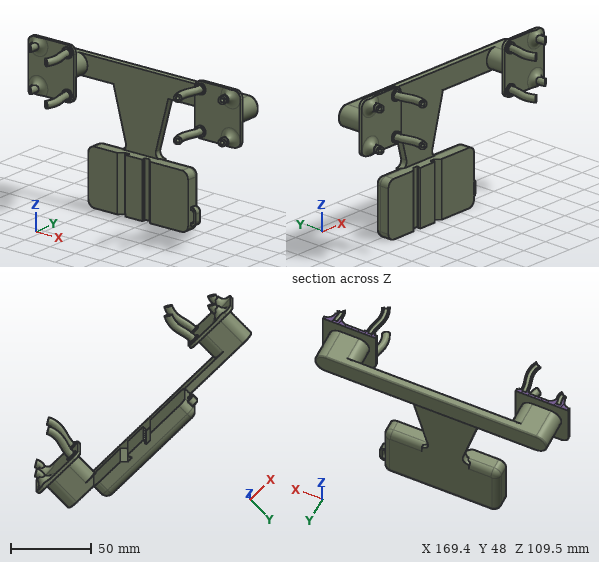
import cadquery as cq
import math


LENGTH = 169.4
DEPTH = 48.0

ARM_LENGTH = 159.7
ARM_HEIGHT = 14.9
ARM_FRONT_Y = -5.0
ARM_BACK_ROUND = 0.8

PAD_LENGTH = 27.5

PLATE_WIDTH = 36.6
PLATE_HEIGHT = 38.3
PLATE_THICKNESS = 2.2
PLATE_CORNER = 5.0
PLATE_BACK_Y = -22.0
PLATE_FRONT_Y = PLATE_BACK_Y - PLATE_THICKNESS
PLATE_CENTRE_X = (LENGTH - PLATE_WIDTH) / 2

PEG_RADIUS = 2.5
PEG_BORE_RADIUS = 1.2
PEG_TIP_ANGLE = 30.0
PEG_Z = PLATE_HEIGHT / 2 - PLATE_CORNER
LONG_PEG_X = LENGTH / 2 - PLATE_WIDTH + PLATE_CORNER
LONG_PEG_REACH = DEPTH + PLATE_FRONT_Y - PEG_RADIUS * math.sin(math.radians(PEG_TIP_ANGLE))
LONG_PEG_BULGE = 2.4
LONG_PEG_LEAN = 0.7
COLLAR_RADIUS = 3.7
COLLAR_HEIGHT = 0.8
SHORT_PEG_X = 76.7
SHORT_PEG_REACH = 8.3
SHORT_PEG_BULGE = 0.7
SHORT_PEG_LEAN = 0.0
BULGE_POSITION = 0.63
FLARE_RADIUS = 5.0

BOX_WIDTH = 79.6
BOX_HEIGHT = 41.0
BOX_CENTRE_X = -6.6
BOX_BOTTOM_Z = -90.3
BOX_TOP_Z = BOX_BOTTOM_Z + BOX_HEIGHT
BOX_BACK_Y = -0.3
BOX_FRONT_Y = -12.0
BOX_CORNER = 5.0
BOX_BACK_ROUND = 4.5

RAIL_CENTRE_X = -10.0
RAIL_HALF_WIDTH = 6.8
RAIL_UNDERCUT = 0.5
GROOVE_DEPTH = 3.2
GROOVE_LIP_DEPTH = 2.2
GROOVE_FLOOR_END = 9.8
GROOVE_MOUTH_END = 13.0

NECK_CENTRE_X = -10.0
NECK_TOP_HALF = 21.9
NECK_BOTTOM_HALF = 12.0
NECK_WAIST_Z = -44.4
NECK_FLARE_RADIUS = 4.4
NECK_OVERLAP = 5.0

LOOP_HEIGHT = 12.2
LOOP_REACH = 4.2
LOOP_BAR = 1.7
LOOP_CENTRE_Z = -79.6
LOOP_BACK_Y = -5.0
LOOP_FRONT_Y = -9.5
LOOP_CORNER = 3.4


def facing_front(y):
    """Sketch plane at depth y, with sketch x = X, sketch y = Z and extrusion towards -Y."""
    return cq.Workplane("XZ", origin=(0, y, 0))


def make_arm():
    bar = facing_front(0).slot2D(ARM_LENGTH, ARM_HEIGHT).extrude(-ARM_FRONT_Y)
    return bar.faces(">Y").edges().fillet(ARM_BACK_ROUND)


def make_neck():
    taper = math.atan2(NECK_TOP_HALF - NECK_BOTTOM_HALF, -ARM_HEIGHT / 2 - NECK_WAIST_Z)
    arc_centre_x = NECK_BOTTOM_HALF + NECK_FLARE_RADIUS * math.cos(taper)
    arc_centre_z = NECK_WAIST_Z - NECK_FLARE_RADIUS * math.sin(taper)
    arc_middle = (math.pi / 2 - taper) / 2
    arc_middle_x = arc_centre_x - NECK_FLARE_RADIUS * math.sin(arc_middle)
    arc_middle_z = arc_centre_z - NECK_FLARE_RADIUS * math.cos(arc_middle)
    arc_end_z = arc_centre_z - NECK_FLARE_RADIUS
    foot_z = BOX_TOP_Z - NECK_OVERLAP
    half_neck = (
        facing_front(BOX_BACK_Y)
        .moveTo(0, 0)
        .lineTo(NECK_TOP_HALF, 0)
        .lineTo(NECK_TOP_HALF, -ARM_HEIGHT / 2)
        .lineTo(NECK_BOTTOM_HALF, NECK_WAIST_Z)
        .threePointArc((arc_middle_x, arc_middle_z), (arc_centre_x, arc_end_z))
        .lineTo(arc_centre_x, foot_z)
        .lineTo(0, foot_z)
        .close()
        .extrude(BOX_BACK_Y - ARM_FRONT_Y)
    )
    return half_neck.union(half_neck.mirror("YZ")).translate((NECK_CENTRE_X, 0, 0))


def make_box():
    box = (
        facing_front(BOX_BACK_Y)
        .center(BOX_CENTRE_X, BOX_BOTTOM_Z + BOX_HEIGHT / 2)
        .rect(BOX_WIDTH, BOX_HEIGHT)
        .extrude(BOX_BACK_Y - BOX_FRONT_Y)
        .edges("|Y")
        .fillet(BOX_CORNER)
        .faces(">Y")
        .edges()
        .fillet(BOX_BACK_ROUND)
    )
    floor_y = BOX_FRONT_Y + GROOVE_DEPTH
    lip_y = BOX_FRONT_Y + GROOVE_LIP_DEPTH
    undercut_x = RAIL_HALF_WIDTH - RAIL_UNDERCUT
    groove = (
        cq.Workplane("XY", origin=(0, 0, BOX_BOTTOM_Z))
        .polyline([
            (RAIL_HALF_WIDTH, BOX_FRONT_Y),
            (RAIL_HALF_WIDTH, lip_y),
            (undercut_x, lip_y),
            (undercut_x, floor_y),
            (GROOVE_FLOOR_END, floor_y),
            (GROOVE_MOUTH_END, BOX_FRONT_Y),
        ])
        .close()
        .extrude(BOX_HEIGHT)
    )
    for side in (groove, groove.mirror("YZ")):
        box = box.cut(side.translate((RAIL_CENTRE_X, 0, 0)))
    return box


def make_loop():
    """D-shaped ring whose straight back is buried in the box side."""
    side_x = BOX_CENTRE_X + BOX_WIDTH / 2
    thickness = LOOP_BACK_Y - LOOP_FRONT_Y

    def rounded_block(shrink):
        reach = LOOP_REACH - shrink
        return (
            facing_front(LOOP_BACK_Y)
            .center(side_x, LOOP_CENTRE_Z)
            .rect(2 * reach, LOOP_HEIGHT - 2 * shrink)
            .extrude(thickness)
            .edges("|Y")
            .fillet(LOOP_CORNER - shrink)
        )

    ring = rounded_block(0).cut(rounded_block(LOOP_BAR))
    outside = facing_front(LOOP_BACK_Y).center(side_x + LOOP_REACH / 2, LOOP_CENTRE_Z)
    return ring.intersect(outside.rect(LOOP_REACH, LOOP_HEIGHT).extrude(thickness))


def make_pad():
    depth = ARM_FRONT_Y - PLATE_BACK_Y
    centre_x = (ARM_LENGTH - PAD_LENGTH) / 2
    return facing_front(ARM_FRONT_Y).center(centre_x, 0).slot2D(PAD_LENGTH, ARM_HEIGHT).extrude(depth)


def plate_prism(back_y, depth):
    """Rounded plate outline on the +X side, extruded towards -Y."""
    return (
        facing_front(back_y)
        .center(PLATE_CENTRE_X, 0)
        .rect(PLATE_WIDTH, PLATE_HEIGHT)
        .extrude(depth)
        .edges("|Y")
        .fillet(PLATE_CORNER)
    )


def bent_rod(x, z, radius, reach, bulge, lean):
    """Round rod from the plate front that bulges towards -X and turns its tip back towards +X.

    The tip ends up offset by lean towards -X.
    """
    tip_angle = math.radians(PEG_TIP_ANGLE)
    path = cq.Workplane("XY", origin=(x, PLATE_FRONT_Y, z)).spline(
        [(0, 0), (-bulge, -BULGE_POSITION * reach), (-lean, -reach)],
        tangents=[(0, -1), (math.sin(tip_angle), -math.cos(tip_angle))],
    )
    return facing_front(PLATE_FRONT_Y).center(x, z).circle(radius).sweep(path)


def make_flare(x, z):
    """Concave trumpet foot that blends a short peg into the plate."""
    foot = PEG_RADIUS + FLARE_RADIUS
    bend = FLARE_RADIUS * (1 - math.sqrt(0.5))
    flare = (
        cq.Workplane("XY")
        .lineTo(foot, 0)
        .threePointArc((PEG_RADIUS + bend, -bend), (PEG_RADIUS, -FLARE_RADIUS))
        .lineTo(0, -FLARE_RADIUS)
        .close()
        .revolve(360, (0, 0, 0), (0, 1, 0))
        .translate((x, PLATE_FRONT_Y, z))
    )
    return flare.intersect(plate_prism(PLATE_FRONT_Y, FLARE_RADIUS))


def make_peg_side():
    """Pad, plate and four pegs of the +X side."""
    side = make_pad().union(plate_prism(PLATE_BACK_Y, PLATE_THICKNESS))
    bores = []
    for z in (PEG_Z, -PEG_Z):
        collar_centre = facing_front(PLATE_FRONT_Y).center(LONG_PEG_X, z)
        collar = collar_centre.circle(COLLAR_RADIUS).extrude(COLLAR_HEIGHT)
        side = side.union(collar).union(make_flare(SHORT_PEG_X, z))
        for x, reach, bulge, lean in (
            (LONG_PEG_X, LONG_PEG_REACH, LONG_PEG_BULGE, LONG_PEG_LEAN),
            (SHORT_PEG_X, SHORT_PEG_REACH, SHORT_PEG_BULGE, SHORT_PEG_LEAN),
        ):
            side = side.union(bent_rod(x, z, PEG_RADIUS, reach, bulge, lean))
            bores.append(bent_rod(x, z, PEG_BORE_RADIUS, reach, bulge, lean))
    for bore in bores:
        side = side.cut(bore)
    return side


peg_side = make_peg_side()
result = make_arm().union(make_neck()).union(make_box()).union(make_loop())
result = result.union(peg_side).union(peg_side.mirror("YZ"))